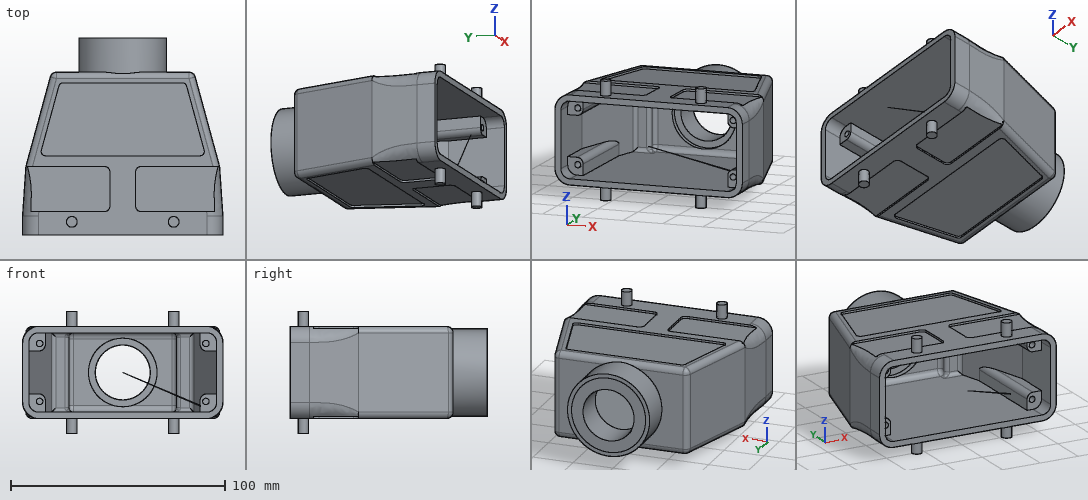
import cadquery as cq
import math

rim_width = 93.5
body_height = 43.0
total_length = 92.0
pin_span = 57.0

rim_length = 9.0
bend_y = 32.0
back_y = 76.0
bend_half_width = 45.2
back_half_width = 33.2
rim_radius = 7.5
edge_radius = 3.0
flare_spans = 4

wall = 3.0
taper_start_y = 28.0
step_y = 68.5
step_half_width = 32.75
floor_y = 73.0
deep_half_width = 25.0
floor_fillet = 2.0
deep_long_fillet = 3.0
lip_radius = 2.0

neck_diameter = 41.0
sleeve_outer = 37.0
wall_opening = 32.0
sleeve_bore = 25.5

post_inner_x = 36.1
post_inner_z = 10.0
post_radius = 3.0
screw_hole = 3.0
screw_hole_depth = 12.0
screw_x = 38.75
screw_z = 13.5

pin_diameter = 5.0
pin_pitch = 47.5
pin_y = 6.2

recess_depth = 1.0
label_inset = 5.0
label_radius = 2.0
grip_start_x = 6.0
grip_start_y = 11.0
grip_radius = 2.5

half_height = body_height / 2
rim_half_width = rim_width / 2
cavity_half_width = rim_half_width - wall
cavity_height = body_height - 2 * wall
CORNERS = [(side_x, side_z) for side_x in (-1, 1) for side_z in (-1, 1)]


def plane_at(y):
    """Workplane parallel to XZ at the given Y, with its normal along +Y (local x is -X)."""
    return cq.Workplane(cq.Plane(origin=(0, y, 0), xDir=(-1, 0, 0), normal=(0, 1, 0)))


def trapezoid(y_start, half_start, y_end, half_end):
    """Symmetric trapezoid in XY, as a pending wire on a Z = 0 workplane."""
    corners = [(-half_start, y_start), (half_start, y_start), (half_end, y_end), (-half_end, y_end)]
    return cq.Workplane("XY").polyline(corners).close()


def place_in_corner(shape, side_x, side_z):
    """Mirror a shape from the +X, +Z corner into the corner with the given signs."""
    if side_x < 0:
        shape = shape.mirror("YZ")
    if side_z < 0:
        shape = shape.mirror("XY")
    return shape


def rounded_rectangle(half_width, height, radius, offset=0.0):
    """Sketch of a rounded rectangle, lifted by an offset along the normal of its workplane."""
    outline = cq.Sketch().rect(2 * half_width, height).vertices().fillet(radius).reset()
    return outline.moved(cq.Location(cq.Vector(0, 0, offset)))


def make_flared_base():
    """Straight rim band, then a loft whose corner radius eases from the rim radius to the edge radius."""
    rim = rounded_rectangle(rim_half_width, body_height, rim_radius)
    band = plane_at(0).placeSketch(rim).extrude(rim_length)
    flare_length = bend_y - rim_length
    sections = []
    for i in range(flare_spans + 1):
        t = i / flare_spans
        half_width = rim_half_width + t * (bend_half_width - rim_half_width)
        radius = rim_radius + t ** 3 * (edge_radius - rim_radius)
        sections.append(rounded_rectangle(half_width, body_height, radius, t * flare_length))
    flare = plane_at(rim_length).placeSketch(*sections).loft()
    return band.union(flare)


def make_tapered_top():
    """Tapered upper part, rounded on every edge except where it meets the flared base."""
    top = trapezoid(bend_y, bend_half_width, back_y, back_half_width).extrude(half_height, both=True)
    return top.edges().filter(lambda edge: edge.Center().y > bend_y + edge_radius).fillet(edge_radius)


def make_neck():
    """Round cable neck, starting inside the back wall so that it meets the rounded back edges."""
    return plane_at(floor_y).circle(neck_diameter / 2).extrude(total_length - floor_y)


def make_cavity():
    """Space inside the hood: rounded mouth, tapering main space and a deeper pocket in the middle."""
    mouth_outline = rounded_rectangle(cavity_half_width, cavity_height, rim_radius - wall)
    mouth = plane_at(0).placeSketch(mouth_outline).extrude(taper_start_y)

    main = trapezoid(taper_start_y, cavity_half_width, step_y, step_half_width)
    main = main.extrude(cavity_height / 2, both=True)
    main = main.faces(">Y").edges().fillet(floor_fillet)

    deep = plane_at(taper_start_y).rect(2 * deep_half_width, cavity_height).extrude(floor_y - taper_start_y)
    deep = deep.faces(">Y").edges("|X").fillet(deep_long_fillet)
    deep = deep.faces(">Y").edges("|Z").fillet(floor_fillet)

    space = mouth.union(main).union(deep)
    lip_reach = deep_half_width + lip_radius / 2
    lip_zone = cq.selectors.BoxSelector(
        (-lip_reach, step_y - lip_radius / 2, -half_height),
        (lip_reach, step_y + lip_radius / 2, half_height))
    return space.edges("|Z").edges(lip_zone).fillet(lip_radius)


def make_post(side_x, side_z):
    """Corner post left standing in the cavity, rounded on its inner edge; it runs on into the walls."""
    size_x = rim_half_width - post_inner_x
    size_z = half_height - post_inner_z
    post = cq.Workplane("XY").box(size_x, step_y - rim_length, size_z, centered=False)
    post = post.edges("<X and <Z").fillet(post_radius)
    post = post.translate((post_inner_x, rim_length, post_inner_z))
    return place_in_corner(post, side_x, side_z)


def make_screw_hole(side_x, side_z):
    """Blind hole in the front face of a corner post."""
    hole = plane_at(rim_length).center(-screw_x, screw_z).circle(screw_hole / 2).extrude(screw_hole_depth)
    return place_in_corner(hole, side_x, side_z)


def make_pin(side_x, side_z):
    """Locking pin standing out of a large face, rooted halfway into the wall."""
    root_z = half_height - wall / 2
    pin = cq.Workplane("XY", origin=(pin_pitch / 2, pin_y, root_z)).circle(pin_diameter / 2)
    pin = pin.extrude(pin_span / 2 - root_z)
    return place_in_corner(pin, side_x, side_z)


def make_label_recess():
    """Trapezoidal recess on the upper face, inset evenly from the sides of the tapered top."""
    slope = (bend_half_width - back_half_width) / (back_y - bend_y)
    side_inset = label_inset * math.hypot(1, slope)
    near_y = bend_y + label_inset
    far_y = back_y - label_inset
    near_half = bend_half_width - slope * (near_y - bend_y) - side_inset
    far_half = bend_half_width - slope * (far_y - bend_y) - side_inset
    recess = trapezoid(near_y, near_half, far_y, far_half).extrude(recess_depth)
    return recess.edges("|Z").fillet(label_radius).translate((0, 0, half_height - recess_depth))


def make_grip_recess():
    """Recess on the upper face of the flared base, open towards +X."""
    recess = cq.Workplane("XY").box(rim_width, bend_y - grip_start_y, recess_depth, centered=False)
    recess = recess.edges("|Z and <X").fillet(grip_radius)
    return recess.translate((grip_start_x, grip_start_y, half_height - recess_depth))


housing = make_flared_base().union(make_tapered_top()).union(make_neck())

label_recess = make_label_recess()
grip_recess = make_grip_recess()
for recess in (label_recess, grip_recess, grip_recess.mirror("YZ")):
    housing = housing.cut(recess).cut(recess.mirror("XY"))

cavity = make_cavity()
for side_x, side_z in CORNERS:
    cavity = cavity.cut(make_post(side_x, side_z))
housing = housing.cut(cavity)

for side_x, side_z in CORNERS:
    housing = housing.cut(make_screw_hole(side_x, side_z)).union(make_pin(side_x, side_z))

opening = plane_at(step_y).circle(wall_opening / 2).extrude(back_y - step_y)
sleeve_seat = plane_at(back_y).circle(sleeve_outer / 2).extrude(total_length - back_y)
housing = housing.cut(opening).cut(sleeve_seat)

sleeve = plane_at(back_y).circle(sleeve_outer / 2).circle(sleeve_bore / 2).extrude(total_length - back_y)

result = cq.Compound.makeCompound([housing.solids().val(), sleeve.val()])